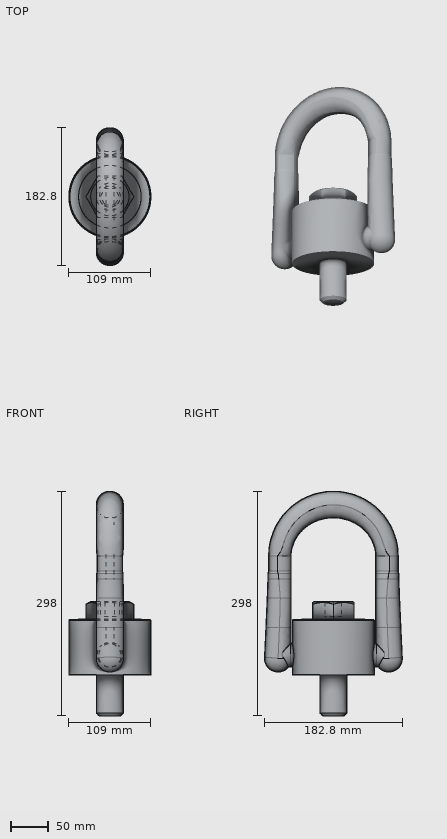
import cadquery as cq
import math


body_radius = 54.5
body_height = 73.7
body_chamfer = 1.5
washer_radius = 41.5
washer_height = 0.8

shank_radius = 18.0
shank_length = 54.4
shank_chamfer = 4.0
head_flats = 55.0
head_height = 22.8
head_chamfer_angle = 30.0
head_top_radius = 25.4
socket_flats = 22.0
socket_depth = 20.0

bar_radius = 18.0
flat_half_width = 5.3
hoop_top = 243.6
arch_axis_radius = 68.0
arch_center_z = hoop_top - arch_axis_radius - bar_radius
arch_step = 15
leg_inner_y = 56.1
crown_inner_radius = arch_axis_radius - math.sqrt(bar_radius**2 - flat_half_width**2)
straight_leg_edge = 6.3

shoulder_top_z = 137.6
leg_end_z = 22.0
hoop_width = 182.77
leg_end_axis_y = hoop_width / 2 - bar_radius
leg_stations = [
    (134.5, 68.7, 4.5),
    (126.9, 68.9, 3.5),
    (101.8, 69.8, 0.6),
    (62.9, 71.5, 0.0),
    (leg_end_z, leg_end_axis_y, 0.0),
]

neck_stations = [
    (49.0, 24.0, 13.5),
    (57.0, 27.0, 16.5),
    (leg_end_axis_y, 27.5, 17.6),
]


def hexagon(flats, z, height):
    """Hexagonal prism with two corners on the X axis."""
    corner_diameter = flats / math.cos(math.radians(30))
    return cq.Workplane("XY").workplane(offset=z).polygon(6, corner_diameter).extrude(height)


def make_body():
    body = cq.Workplane("XY").circle(body_radius).extrude(body_height)
    body = body.faces(">Z").edges().chamfer(body_chamfer)
    washer = cq.Workplane("XY").workplane(offset=body_height).circle(washer_radius).extrude(washer_height)
    return body.union(washer)


def make_bolt():
    shank = cq.Workplane("XY").workplane(offset=-shank_length).circle(shank_radius)
    shank = shank.extrude(shank_length + body_height)
    shank = shank.faces("<Z").edges().chamfer(shank_chamfer)

    head_base = body_height + washer_height
    head_top = head_base + head_height
    cone_base_radius = head_top_radius + head_height / math.tan(math.radians(head_chamfer_angle))
    cone = (
        cq.Workplane("XZ")
        .moveTo(0, head_base)
        .lineTo(cone_base_radius, head_base)
        .lineTo(head_top_radius, head_top)
        .lineTo(0, head_top)
        .close()
        .revolve(360, (0, 0, 0), (0, 1, 0))
    )
    head = hexagon(head_flats, head_base, head_height).intersect(cone)
    socket = hexagon(socket_flats, head_top - socket_depth, socket_depth)
    return shank.union(head.cut(socket))


def bar_section(plane, axis_distance, edge_offset, inner_distance):
    """Bar outline on a plane whose local Y points away from the middle of the hoop."""
    half_width = math.sqrt(bar_radius**2 - edge_offset**2)
    edge = axis_distance + edge_offset
    run = half_width - flat_half_width
    drop = edge - inner_distance
    flank_radius = (run**2 + drop**2) / (2 * run)
    half_angle = math.atan2(drop, flank_radius - run) / 2
    mid_x = half_width - flank_radius * (1 - math.cos(half_angle))
    mid_y = edge - flank_radius * math.sin(half_angle)
    outline = (
        cq.Workplane(plane)
        .moveTo(half_width, edge)
        .threePointArc((0, axis_distance + bar_radius), (-half_width, edge))
        .threePointArc((-mid_x, mid_y), (-flat_half_width, inner_distance))
        .lineTo(flat_half_width, inner_distance)
        .threePointArc((mid_x, mid_y), (half_width, edge))
        .close()
    )
    return outline.wire().val()


def arch_section(degrees):
    """Bar outline at an angle around the arch; its inner side follows an ellipse."""
    cosine = math.cos(math.radians(degrees))
    sine = math.sin(math.radians(degrees))
    plane = cq.Plane(origin=(0, 0, arch_center_z), xDir=(1, 0, 0), normal=(0, -sine, cosine))
    inner = leg_inner_y * crown_inner_radius / math.hypot(crown_inner_radius * cosine, leg_inner_y * sine)
    edge_offset = straight_leg_edge if degrees in (0, 180) else 0
    return bar_section(plane, arch_axis_radius, edge_offset, inner)


def make_arch():
    sections = [arch_section(degrees) for degrees in range(0, 181, arch_step)]
    return cq.Workplane(cq.Solid.makeLoft(sections))


def make_leg():
    """Leg on the +Y side, with its rounded lower end."""
    straight = [
        (arch_center_z, arch_axis_radius, straight_leg_edge),
        (shoulder_top_z, arch_axis_radius, straight_leg_edge),
    ]
    sections = []
    for z, axis_y, edge_offset in straight + leg_stations:
        plane = cq.Plane(origin=(0, 0, z), xDir=(1, 0, 0), normal=(0, 0, 1))
        section = bar_section(plane, axis_y, edge_offset, leg_inner_y)
        sections.append(section)
    leg = cq.Workplane(cq.Solid.makeLoft(sections, True))
    end_ball = cq.Workplane("XY").sphere(bar_radius).translate((0, leg_end_axis_y, leg_end_z))
    return leg.union(end_ball)


def make_neck():
    """Neck on the +Y side, widening from the body to the leg."""
    sections = []
    for y, z, radius in neck_stations:
        circle = cq.Wire.makeCircle(radius, cq.Vector(0, y, z), cq.Vector(0, 1, 0))
        sections.append(circle)
    return cq.Workplane(cq.Solid.makeLoft(sections, True))


side = make_leg().union(make_neck())
result = make_body().union(make_bolt()).union(side).union(side.mirror("XZ")).union(make_arch())